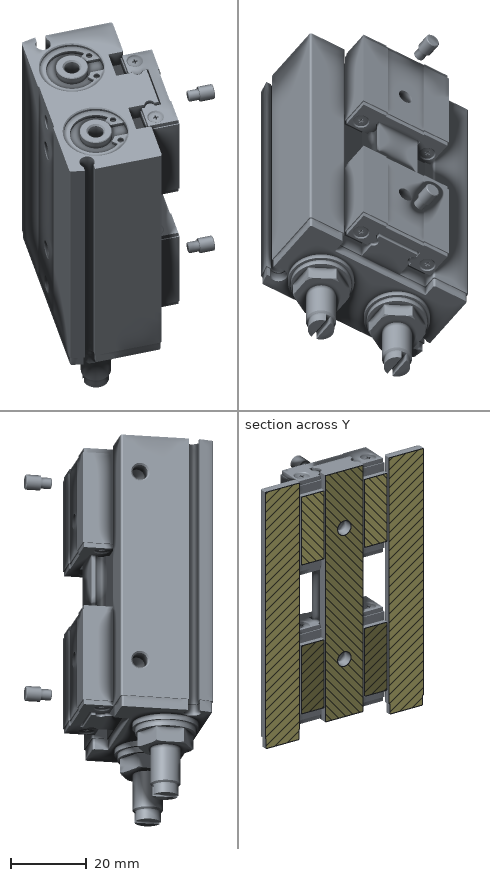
import cadquery as cq
import math

STEP = 0.3

HOUSING_WIDTH = 50.0
HOUSING_DEPTH = 25.1
HOUSING_HEIGHT = 71.95
HALF_WIDTH = HOUSING_WIDTH / 2
CORNER_RADIUS = 0.6
CHANNEL_WIDTH = 28.0
CHANNEL_FLOOR = 21.0
END_PLATE_HEIGHT = 3.0
STRIP_WIDTH = 14.9

GROOVE_Y = 5.3
GROOVE_MOUTH = 2.8
GROOVE_DIAMETER = 4.0
GROOVE_CENTRE_INSET = 3.0
BEVEL_INSET = 0.9

THREAD_DIAMETER = 4.1
THREAD_MOUTH = 5.0
THREAD_CHAMFER = (THREAD_MOUTH - THREAD_DIAMETER) / 2
DRILL_POINT_ANGLE = 118
MOUNT_HOLE_INSET = 16.9
PORT_INSET = 10.0
PORT_Y = 19.8
PORT_DEPTH = 4.8
LOCATING_DIAMETER = 4.0
LOCATING_DEPTH = 4.0
LOCATING_HOLE_Z = 65.9
LOCATING_SLOT_Z = 3.5
LOCATING_SLOT_LENGTH = 5.05

CYLINDER_X = 12.0
CYLINDER_Y = 10.5
BORE_DIAMETER = 17.0
BORE_MOUTH = 17.5
BORE_DEPTH = 2.0
ROD_DIAMETER = 8.5
ROD_RISE = 0.3
ROD_CHAMFER = 0.2
ROD_THREAD_DEPTH = 7.6
RING_TOP_DEPTH = 1.0
RING_THICKNESS = 1.05
RING_INNER_DIAMETER = 13.7
RING_GAP = 4.2
EAR_INNER_RADIUS = 5.0
EAR_ANGLE = 47
EAR_HOLE_DIAMETER = 1.7
EAR_HOLE_X = 3.8
EAR_HOLE_Y = 5.7

NECK_DIAMETER = 17.0
NECK_HEIGHT = 0.2
COLLAR_DIAMETER = 17.5
WASHER_DIAMETER = 16.0
COLLAR_HEIGHT = 1.3
WASHER_HEIGHT = 1.5
NUT_ACROSS_FLATS = 13.0
NUT_HEIGHT = 4.0
NUT_CHAMFER = 0.3
STEM_DIAMETER = 8.0
STEM_LENGTH = 10.3
STEM_TAPER = 0.5
TIP_DIAMETER = 7.0
TIP_LENGTH = 2.8
SCREWDRIVER_SLOT = 1.5
SCREWDRIVER_DEPTH = 2.6

RAIL_WIDTH = 12.0
RAIL_TOP = 29.3
RACE_LOW = 25.4
RACE_HIGH = 28.1
RACE_DEPTH = 1.1

CARRIAGE_WIDTH = 27.1
CARRIAGE_BOTTOM = 24.2
CARRIAGE_TOP = 33.0
CARRIAGE_END_GAP = 0.6
CARRIAGE_SPACING = 16.0
CAP_THICKNESS = 1.2
TOP_RECESS_WIDTH = 11.4
RAIL_CLEARANCE = 0.3
FOOT_GAP = 0.3
FOOT_SETBACK = 2.5
SCREW_X = 10.5
SCREW_Y = 27.3
SCREW_RECESS_MOUTH = 4.4
SCREW_HEAD_DIAMETER = 3.8
SCREW_RECESS_DEPTH = 0.3
CROSS_LENGTH = 1.5
CROSS_WIDTH = 0.4
CROSS_DEPTH = 0.8

PIN_END_Y = 45.8
PIN_HEAD_DIAMETER = 4.0
PIN_HEAD_LENGTH = 4.0
PIN_SHANK_DIAMETER = 3.0
PIN_SHANK_LENGTH = 3.0
PIN_CHAMFER = 0.2
PIN_HEIGHTS = (6.8, 65.2)

MOUNT_HOLE_HEIGHTS = (MOUNT_HOLE_INSET, HOUSING_HEIGHT - MOUNT_HOLE_INSET)
PORT_HEIGHTS = (PORT_INSET, HOUSING_HEIGHT - PORT_INSET)
CARRIAGE_LENGTH = (HOUSING_HEIGHT - CARRIAGE_SPACING) / 2 - CARRIAGE_END_GAP
CARRIAGE_HEIGHTS = (CARRIAGE_END_GAP, HOUSING_HEIGHT - CARRIAGE_END_GAP - CARRIAGE_LENGTH)


def disc(diameter, bottom, height, x=0, y=0):
    """Upright cylinder with its lower end at the given height."""
    return cq.Workplane("XY", origin=(x, y, bottom)).circle(diameter / 2).extrude(height)


def tapered_disc(lower_diameter, upper_diameter, bottom, height):
    """Upright cone frustum on the Z axis."""
    lower = cq.Workplane("XY", origin=(0, 0, bottom)).circle(lower_diameter / 2)
    return lower.workplane(offset=height).circle(upper_diameter / 2).loft()


def bar(x_size, y_range, z_range, x=0):
    """Box centred on x and spanning the given Y and Z ranges."""
    y_low, y_high = y_range
    z_low, z_high = z_range
    return (
        cq.Workplane("XY", origin=(x, (y_low + y_high) / 2, z_low))
        .rect(x_size, y_high - y_low)
        .extrude(z_high - z_low)
    )


def threaded_hole(start, direction, depth):
    """Cutter for a drilled hole along one axis, with a chamfered mouth and a conical bottom."""
    radius = THREAD_DIAMETER / 2
    point = radius / math.tan(math.radians(DRILL_POINT_ANGLE / 2))
    half_section = [
        (0, 0),
        (THREAD_MOUTH / 2, 0),
        (radius, THREAD_CHAMFER),
        (radius, depth),
        (0, depth + point),
    ]
    across = (0, 1, 0) if abs(direction[1]) < 1 else (1, 0, 0)
    plane_normal = cq.Vector(*across).cross(cq.Vector(*direction))
    plane = cq.Plane(origin=start, xDir=across, normal=plane_normal.toTuple())
    return cq.Workplane(plane).polyline(half_section).close().revolve(360, (0, 0), (0, 1))


def mount_hole(height):
    """Cutter for a plain hole through the whole depth of the assembly."""
    plane = cq.Workplane("XZ", origin=(0, 0, height))
    return plane.circle(THREAD_DIAMETER / 2).extrude(-CARRIAGE_TOP)


def housing_section():
    """Cross-section of the housing, with its rail channel and sensor grooves."""
    mouth_high = GROOVE_Y + GROOVE_MOUTH / 2
    mouth_low = GROOVE_Y - GROOVE_MOUTH / 2
    groove_x = HALF_WIDTH - GROOVE_CENTRE_INSET
    neck_x = groove_x + math.sqrt(GROOVE_DIAMETER**2 - GROOVE_MOUTH**2) / 2
    groove_end = groove_x - GROOVE_DIAMETER / 2
    foot_x = HALF_WIDTH - BEVEL_INSET
    channel_x = CHANNEL_WIDTH / 2
    return (
        cq.Workplane("XY")
        .moveTo(-foot_x, 0)
        .lineTo(foot_x, 0)
        .lineTo(HALF_WIDTH, mouth_low)
        .lineTo(neck_x, mouth_low)
        .threePointArc((groove_end, GROOVE_Y), (neck_x, mouth_high))
        .lineTo(HALF_WIDTH, mouth_high)
        .lineTo(HALF_WIDTH, HOUSING_DEPTH)
        .lineTo(channel_x, HOUSING_DEPTH)
        .lineTo(channel_x, CHANNEL_FLOOR)
        .lineTo(-channel_x, CHANNEL_FLOOR)
        .lineTo(-channel_x, HOUSING_DEPTH)
        .lineTo(-HALF_WIDTH, HOUSING_DEPTH)
        .lineTo(-HALF_WIDTH, mouth_high)
        .lineTo(-neck_x, mouth_high)
        .threePointArc((-groove_end, GROOVE_Y), (-neck_x, mouth_low))
        .lineTo(-HALF_WIDTH, mouth_low)
        .close()
    )


def round_long_corners(block, front, back):
    """Round the outer upright corners at the front and back of a housing block."""
    margin = 0.2
    box = block.val().BoundingBox()
    for y in (front, back):
        corners = cq.selectors.BoxSelector(
            (box.xmin - margin, y - margin, box.zmin - margin),
            (box.xmax + margin, y + margin, box.zmax + margin),
        )
        block = block.edges("|Z").edges(corners).fillet(CORNER_RADIUS)
    return block


def front_strip():
    """Cutter for the shallow strip down the front face, with its sides sloped at 45 degrees."""
    floor_x = STRIP_WIDTH / 2
    mouth_x = floor_x + STEP
    outline = [(-mouth_x, 0), (mouth_x, 0), (floor_x, STEP), (-floor_x, STEP)]
    return cq.Workplane("XY").polyline(outline).close().extrude(HOUSING_HEIGHT)


def housing_block():
    main = housing_section().extrude(HOUSING_HEIGHT)
    main = round_long_corners(main, 0, HOUSING_DEPTH)
    main = main.cut(front_strip())
    plate = housing_section().offset2D(-STEP, "intersection").extrude(-END_PLATE_HEIGHT)
    plate = round_long_corners(plate, STEP, HOUSING_DEPTH - STEP)
    return main.union(plate).clean()


def locating_cutters():
    """Round hole and matching slot in the recessed front strip."""
    slot = (
        cq.Workplane("XZ", origin=(0, STEP, LOCATING_SLOT_Z))
        .slot2D(LOCATING_SLOT_LENGTH, LOCATING_DIAMETER, 90)
        .extrude(-LOCATING_DEPTH)
    )
    hole = (
        cq.Workplane("XZ", origin=(0, STEP, LOCATING_HOLE_Z))
        .circle(LOCATING_DIAMETER / 2)
        .extrude(-LOCATING_DEPTH)
    )
    return slot.union(hole)


def cylinder_bore(x):
    """Recess at the upper end of a cylinder, with a chamfered mouth."""
    bore = disc(BORE_DIAMETER, HOUSING_HEIGHT - BORE_DEPTH, BORE_DEPTH, x, CYLINDER_Y)
    mouth_depth = (BORE_MOUTH - BORE_DIAMETER) / 2
    mouth = tapered_disc(BORE_DIAMETER, BORE_MOUTH, HOUSING_HEIGHT - mouth_depth, mouth_depth)
    return bore.union(mouth.translate((x, CYLINDER_Y, 0)))


def retaining_ring(x):
    """Open ring seated in the bore, with an ear and a pliers hole on each side of its gap."""
    bottom = HOUSING_HEIGHT - RING_TOP_DEPTH - RING_THICKNESS
    ring = disc(BORE_DIAMETER, bottom, RING_THICKNESS).cut(
        disc(RING_INNER_DIAMETER, bottom, RING_THICKNESS)
    )
    reach = BORE_DIAMETER
    spread = reach * math.tan(math.radians(EAR_ANGLE))
    sector = (
        cq.Workplane("XY", origin=(0, 0, bottom))
        .polyline([(0, 0), (spread, reach), (-spread, reach)])
        .close()
        .extrude(RING_THICKNESS)
    )
    ears = (
        disc(RING_INNER_DIAMETER, bottom, RING_THICKNESS)
        .cut(disc(2 * EAR_INNER_RADIUS, bottom, RING_THICKNESS))
        .intersect(sector)
    )
    ring = ring.union(ears).cut(bar(RING_GAP, (0, reach), (bottom, bottom + RING_THICKNESS)))
    for side in (-1, 1):
        ring = ring.cut(
            disc(EAR_HOLE_DIAMETER, bottom, RING_THICKNESS, side * EAR_HOLE_X, EAR_HOLE_Y)
        )
    return ring.translate((x, CYLINDER_Y, 0))


def rod_end(x):
    bottom = HOUSING_HEIGHT - BORE_DEPTH
    return disc(ROD_DIAMETER, bottom, BORE_DEPTH + ROD_RISE, x, CYLINDER_Y).faces(">Z").chamfer(ROD_CHAMFER)


def adjuster(x):
    """Collar, washer, lock nut and slotted screw hanging below the end plate."""
    collar_top = -END_PLATE_HEIGHT - NECK_HEIGHT
    collar_bottom = collar_top - COLLAR_HEIGHT
    washer_bottom = collar_bottom - WASHER_HEIGHT
    nut_bottom = washer_bottom - NUT_HEIGHT
    stem_bottom = nut_bottom - STEM_LENGTH
    tip_bottom = stem_bottom - TIP_LENGTH
    nut_corner_radius = NUT_ACROSS_FLATS / math.sqrt(3)

    neck = disc(NECK_DIAMETER, collar_top, NECK_HEIGHT)
    collar = disc(COLLAR_DIAMETER, collar_bottom, COLLAR_HEIGHT)
    washer = disc(WASHER_DIAMETER, washer_bottom, WASHER_HEIGHT)
    nut = (
        cq.Workplane("XY", origin=(0, 0, nut_bottom))
        .polygon(6, 2 * nut_corner_radius)
        .extrude(NUT_HEIGHT)
        .rotate((0, 0, 0), (0, 0, 1), 90)
    )
    nut_envelope = disc(2 * nut_corner_radius, nut_bottom, NUT_HEIGHT).faces("<Z").chamfer(
        NUT_CHAMFER, 2 * NUT_CHAMFER
    )
    nut = nut.intersect(nut_envelope)
    stem = disc(STEM_DIAMETER, stem_bottom + STEM_TAPER, STEM_LENGTH - STEM_TAPER)
    stem = stem.union(tapered_disc(TIP_DIAMETER, STEM_DIAMETER, stem_bottom, STEM_TAPER))
    tip = disc(TIP_DIAMETER, tip_bottom, TIP_LENGTH)
    tip = tip.cut(
        bar(
            SCREWDRIVER_SLOT,
            (-TIP_DIAMETER, TIP_DIAMETER),
            (tip_bottom, tip_bottom + SCREWDRIVER_DEPTH),
        )
    )
    screw = stem.union(tip)
    return neck.union(collar).union(washer).union(nut).union(screw).translate((x, CYLINDER_Y, 0))


def make_housing():
    body = housing_block().cut(locating_cutters())
    for height in MOUNT_HOLE_HEIGHTS:
        body = body.cut(threaded_hole((0, STEP, height), (0, 1, 0), HOUSING_DEPTH))
    for height in PORT_HEIGHTS:
        body = body.cut(threaded_hole((-HALF_WIDTH, PORT_Y, height), (1, 0, 0), PORT_DEPTH))
    for x in (-CYLINDER_X, CYLINDER_X):
        body = body.cut(cylinder_bore(x))
        body = body.union(retaining_ring(x)).union(rod_end(x)).union(adjuster(x))
        rod_top = (x, CYLINDER_Y, HOUSING_HEIGHT + ROD_RISE)
        body = body.cut(threaded_hole(rod_top, (0, 0, -1), ROD_THREAD_DEPTH))
    return body


def rail_section(clearance):
    """Cross-section of the rail, with a round ball race in each flank.

    The clearance moves the flanks outward and the top upward, which gives the opening of a carriage.
    """
    half = RAIL_WIDTH / 2 + clearance
    top = RAIL_TOP + clearance
    race_x = half - RACE_DEPTH
    race_middle = (RACE_LOW + RACE_HIGH) / 2
    return (
        cq.Workplane("XY")
        .moveTo(-half, CHANNEL_FLOOR)
        .lineTo(half, CHANNEL_FLOOR)
        .lineTo(half, RACE_LOW)
        .threePointArc((race_x, race_middle), (half, RACE_HIGH))
        .lineTo(half, top)
        .lineTo(-half, top)
        .lineTo(-half, RACE_HIGH)
        .threePointArc((-race_x, race_middle), (-half, RACE_LOW))
        .close()
    )


def make_rail():
    rail = rail_section(0).extrude(HOUSING_HEIGHT)
    for height in MOUNT_HOLE_HEIGHTS:
        rail = rail.cut(mount_hole(height))
    return rail


def carriage_slice(bottom, height, inset):
    """Length of carriage whose outline is shrunk inward by the inset."""
    y_range = (CARRIAGE_BOTTOM + inset, CARRIAGE_TOP - inset)
    z_range = (bottom, bottom + height)
    block = bar(CARRIAGE_WIDTH - 2 * inset, y_range, z_range)
    recess_floor = CARRIAGE_TOP - STEP - inset
    block = block.cut(bar(TOP_RECESS_WIDTH + 2 * inset, (recess_floor, CARRIAGE_TOP), z_range))
    opening = rail_section(RAIL_CLEARANCE + inset).extrude(height)
    return block.cut(opening.translate((0, 0, bottom)))


def carriage_feet(z_range):
    """Pair of feet reaching into the channel on both sides of the rail."""
    inner = RAIL_WIDTH / 2 + RAIL_CLEARANCE
    outer = CARRIAGE_WIDTH / 2
    y_range = (CHANNEL_FLOOR + FOOT_GAP, CARRIAGE_BOTTOM)
    left = bar(outer - inner, y_range, z_range, -(inner + outer) / 2)
    return left.union(bar(outer - inner, y_range, z_range, (inner + outer) / 2))


def cap_screw_cutter(x, outer_z, inward):
    """Tapered recess and cross slot of a screw head; inward is -1 or 1 along Z."""
    plane = cq.Workplane("XY", origin=(x, SCREW_Y, outer_z))
    recess = (
        plane.circle(SCREW_RECESS_MOUTH / 2)
        .workplane(offset=inward * SCREW_RECESS_DEPTH)
        .circle(SCREW_HEAD_DIAMETER / 2)
        .loft()
    )
    depth = inward * (SCREW_RECESS_DEPTH + CROSS_DEPTH)
    slot = plane.rect(CROSS_LENGTH, CROSS_WIDTH).extrude(depth)
    return recess.union(slot).union(plane.rect(CROSS_WIDTH, CROSS_LENGTH).extrude(depth))


def make_carriage(bottom):
    top = bottom + CARRIAGE_LENGTH
    block_bottom = bottom + CAP_THICKNESS
    block_top = top - CAP_THICKNESS
    carriage = carriage_slice(block_bottom, block_top - block_bottom, 0)
    carriage = carriage.union(carriage_feet((block_bottom + FOOT_SETBACK, block_top - FOOT_SETBACK)))
    for cap_bottom in (bottom, block_top):
        carriage = carriage.union(carriage_slice(cap_bottom, CAP_THICKNESS, STEP))
    for x in (-SCREW_X, SCREW_X):
        carriage = carriage.cut(cap_screw_cutter(x, top, -1))
        carriage = carriage.cut(cap_screw_cutter(x, bottom, 1))
    for height in MOUNT_HOLE_HEIGHTS:
        carriage = carriage.cut(mount_hole(height))
    return carriage


def make_pin(height):
    """Stepped pin along Y with its shank towards the carriage."""
    plane = cq.Workplane("XZ", origin=(0, PIN_END_Y, height))
    head = plane.circle(PIN_HEAD_DIAMETER / 2).extrude(PIN_HEAD_LENGTH)
    head = head.faces(">Y").chamfer(PIN_CHAMFER)
    shank = plane.circle(PIN_SHANK_DIAMETER / 2).extrude(PIN_HEAD_LENGTH + PIN_SHANK_LENGTH)
    shank = shank.faces("<Y").chamfer(PIN_CHAMFER)
    return head.union(shank)


housing = make_housing()
rail = make_rail()
carriages = [make_carriage(bottom) for bottom in CARRIAGE_HEIGHTS]
pins = [make_pin(height) for height in PIN_HEIGHTS]

result = cq.Compound.makeCompound(
    [
        housing.val(),
        rail.val(),
        *[carriage.val() for carriage in carriages],
        *[pin.val() for pin in pins],
    ]
)